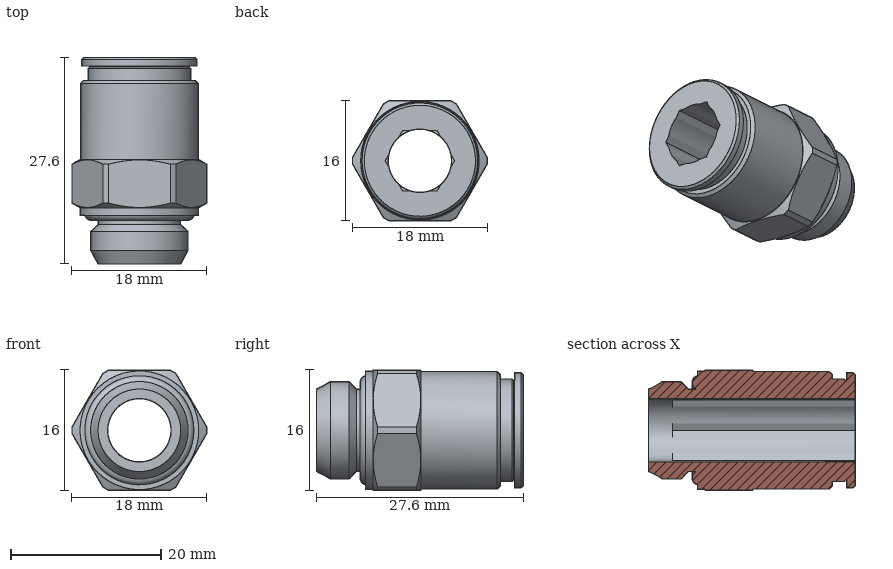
import cadquery as cq
import math

TOTAL_LENGTH = 27.55

BORE_RADIUS = 4.2
THREAD_RADIUS = 6.5
NECK_RADIUS = 5.5
LEAD_CHAMFER_LENGTH = 1.85
THREAD_END_Y = 4.35
NECK_START_Y = 5.3

SEAL_FRONT_Y = 5.8
SEAL_TUBE_RADIUS = 0.95
SEAL_OUTER_RADIUS = 7.3
SEAL_RING_RADIUS = SEAL_OUTER_RADIUS - SEAL_TUBE_RADIUS
SEAL_CENTER_Y = SEAL_FRONT_Y + SEAL_TUBE_RADIUS

SHOULDER_RADIUS = 7.9
BODY_RADIUS = 7.85
BODY_START_Y = 6.5
BODY_END_Y = TOTAL_LENGTH - 3.05
BODY_CHAMFER = 0.42

SLEEVE_RADIUS = 6.85
SLEEVE_STEP = 0.2
SLEEVE_CHAMFER_START_Y = TOTAL_LENGTH - 1.5
SLEEVE_CHAMFER_END_Y = SLEEVE_CHAMFER_START_Y + SLEEVE_STEP
FLANGE_RADIUS = 7.7
FLANGE_START_Y = TOTAL_LENGTH - 1.15
FLANGE_CHAMFER = 0.3

HEX_ACROSS_FLATS = 16.0
HEX_CORNER_RADIUS = 9.0
HEX_START_Y = 7.5
HEX_END_Y = 13.95
HEX_CHAMFER_ANGLE = 30.0

SOCKET_ACROSS_FLATS = 8.0
SOCKET_START_Y = 3.2


def revolve_about_y(outline):
    """Turn a closed outline of (radius, y) points about the Y axis."""
    return cq.Workplane("XY").polyline(outline).close().revolve(360, (0, 0, 0), (0, 1, 0))


def hexagon_prism(across_flats, start_y, end_y):
    """Hexagonal prism along Y with two opposite edges in the XY plane."""
    across_corners = across_flats / math.cos(math.radians(30))
    plane = cq.Workplane("XZ", origin=(0, start_y, 0))
    return plane.polygon(6, across_corners).extrude(start_y - end_y)


def turned_body():
    outline = [
        (0, 0),
        (NECK_RADIUS, 0),
        (THREAD_RADIUS, LEAD_CHAMFER_LENGTH),
        (THREAD_RADIUS, THREAD_END_Y),
        (NECK_RADIUS, NECK_START_Y),
        (NECK_RADIUS, BODY_START_Y),
        (SHOULDER_RADIUS, BODY_START_Y),
        (SHOULDER_RADIUS, HEX_END_Y),
        (BODY_RADIUS, HEX_END_Y),
        (BODY_RADIUS, BODY_END_Y - BODY_CHAMFER),
        (BODY_RADIUS - BODY_CHAMFER, BODY_END_Y),
        (SLEEVE_RADIUS, BODY_END_Y),
        (SLEEVE_RADIUS, SLEEVE_CHAMFER_START_Y),
        (SLEEVE_RADIUS - SLEEVE_STEP, SLEEVE_CHAMFER_END_Y),
        (SLEEVE_RADIUS - SLEEVE_STEP, FLANGE_START_Y),
        (FLANGE_RADIUS, FLANGE_START_Y),
        (FLANGE_RADIUS, TOTAL_LENGTH - FLANGE_CHAMFER),
        (FLANGE_RADIUS - FLANGE_CHAMFER, TOTAL_LENGTH),
        (0, TOTAL_LENGTH),
    ]
    return revolve_about_y(outline)


def wrench_hexagon():
    chamfer_length = (HEX_CORNER_RADIUS - SHOULDER_RADIUS) * math.tan(math.radians(HEX_CHAMFER_ANGLE))
    envelope = revolve_about_y([
        (0, HEX_START_Y),
        (SHOULDER_RADIUS, HEX_START_Y),
        (HEX_CORNER_RADIUS, HEX_START_Y + chamfer_length),
        (HEX_CORNER_RADIUS, HEX_END_Y - chamfer_length),
        (SHOULDER_RADIUS, HEX_END_Y),
        (0, HEX_END_Y),
    ])
    return hexagon_prism(HEX_ACROSS_FLATS, HEX_START_Y, HEX_END_Y).intersect(envelope)


def seal_ring():
    section = cq.Workplane("XY").center(SEAL_RING_RADIUS, SEAL_CENTER_Y).circle(SEAL_TUBE_RADIUS)
    return section.revolve(360, (-SEAL_RING_RADIUS, 0, 0), (-SEAL_RING_RADIUS, 1, 0))


def bore():
    return cq.Workplane("XZ").circle(BORE_RADIUS).extrude(-TOTAL_LENGTH)


def hexagon_socket():
    return hexagon_prism(SOCKET_ACROSS_FLATS, SOCKET_START_Y, TOTAL_LENGTH)


solid_fitting = turned_body().union(wrench_hexagon()).union(seal_ring())
result = solid_fitting.cut(bore()).cut(hexagon_socket())